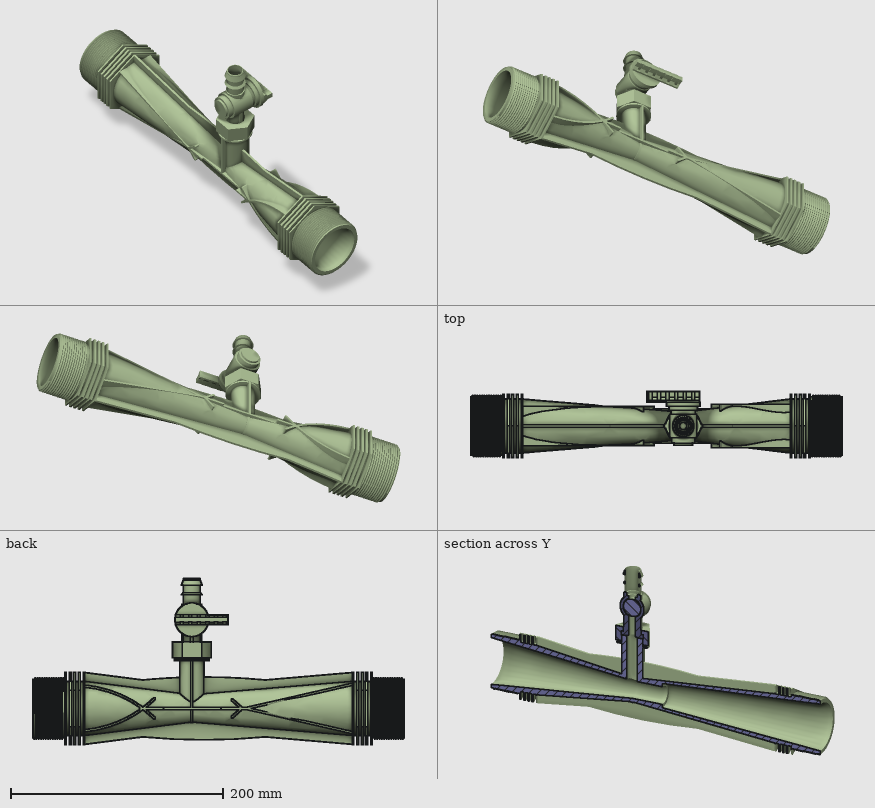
import cadquery as cq
import math

LENGTH = 350.0
HALF_LENGTH = LENGTH / 2
PORT_DIA = 47.5
NOZZLE_DIA = 24.5
THROAT_DIA = 18.0
THROAT_START = -7.0
THROAT_END = 25.2

THREAD_CREST_DIA = 58.0
THREAD_ROOT_DIA = 55.3
THREAD_PITCH = 2.2
THREAD_LENGTH = 30.0
RIDGE_OVERLAP = 0.5
RIDGE_BASE = 2.0

HEX_FLATS = 59.5
END_PLATE = 1.5
MIDDLE_PLATE = 2.0
MIDDLE_PLATE_PITCH = 4.2
STACK_LENGTH = 19.0
CORE_DIA = 51.0
WAIST_DIA = 26.0
WAIST_RING_DIA = 27.3
STACK_OUTER = HALF_LENGTH - THREAD_LENGTH
STACK_INNER = STACK_OUTER - STACK_LENGTH
STACK_MIDDLE = (STACK_OUTER + STACK_INNER) / 2

RIB_WIDTH = 2.0
WEB_END_HEIGHT = 34.0
WEB_LOW_HEIGHT = 27.0
WEB_MIDDLE_HEIGHT = 29.8
WEB_LOW_LEFT = -44.0
WEB_LOW_RIGHT = 71.5

INLET_RIB_REACH = 18.5
OUTLET_RIB_REACH = 20.5
CENTRE_RIB_REACH = 16.5
INLET_RIB_END = -3.0
OUTLET_RIB_START = 52.5
INLET_APEX = -26.2
INLET_RIB_HEIGHT = 22.8
ARROW_APEX = -22.0
ARROW_TIP = (-13.0, 8.0)
OUTLET_RIB_HIGH = (STACK_INNER, 21.0)
OUTLET_RIB_BEND = (88.5, 10.5)
OUTLET_RIB_LOW = (60.5, -9.0)
OUTLET_CROSSING = 73.5

BRANCH_X = 25.2
POST_DIA = 23.0
COLLAR_DIA = 2 * CENTRE_RIB_REACH
COLLAR_BOTTOM = 44.8
COLLAR_TOP = 46.5
POST_TOP = 54.2
SUCTION_DIA = 11.0

NUT_FLATS = 32.0
NUT_BOTTOM = 47.5
NUT_TOP = 62.5
NUT_HOLE_DIA = 19.0

TAIL_TOP = 57.8
VALVE_Z = 83.5
VALVE_DIA = 26.0
VALVE_BACK = 11.2
VALVE_FRONT = -11.0
CAP_DIA = 22.0
CAP_END = -16.0
CAP_STEP_DIA = 18.0
CAP_STEP_END = -18.2
NECK_DIA = 16.0
NECK_COLLAR_DIA = 18.0
NECK_RIB_SPAN = 18.5
NECK_RIB_WIDTH = 3.0
NECK_RIB_TOP = 98.5
VALVE_TOP = 123.0
HOSE_TIP_DIA = 15.0
HOSE_TIP_CHAMFER = 1.0
BARB_DIA = 20.0
UPPER_BARB = (116.2, 121.0)
LOWER_BARB = (107.0, 109.2)
HOSE_BORE_DIA = 14.0
STEP_BORE_DIA = 11.0
STEP_BORE_BOTTOM = 95.5
VALVE_BORE_DIA = 7.0
PLUG_DIA = 18.0

STEM_DIA = 23.0
STEM_END = 14.7
HUB_DIA = 27.0
HUB_END = 18.5
DISC_DIA = 32.0
DISC_END = 22.5
LEVER_LEFT = -34.3
LEVER_RIGHT = 15.5
LEVER_BASE = 1.8
LEVER_FLARE_END = 27.0
LEVER_END = 32.5
LEVER_BASE_WIDTH = 9.0
LEVER_GRIP_WIDTH = 5.0
NOTCH_COUNT = 6
NOTCH_WIDTH = 3.0
NOTCH_FLOOR_GAP = 4.2
NOTCH_PITCH = 8.0
FIRST_NOTCH = -30.8


def hexagon_corner_dia(flats):
    return flats / math.cos(math.pi / 6)


def x_cylinder(diameter, start, end):
    return cq.Workplane("YZ", origin=(start, 0, 0)).circle(diameter / 2).extrude(end - start)


def upright_cylinder(diameter, bottom, top):
    base = cq.Workplane("XY", origin=(BRANCH_X, 0, bottom))
    return base.circle(diameter / 2).extrude(top - bottom)


def valve_axis_cylinder(diameter, front, back):
    """Cylinder along Y on the axis of the valve plug."""
    base = cq.Workplane("XZ", origin=(BRANCH_X, back, VALVE_Z))
    return base.circle(diameter / 2).extrude(back - front)


def threaded_end():
    """Threaded inlet end: a plain core with a helical V ridge, clear of both ends."""
    start = -HALF_LENGTH
    core = x_cylinder(THREAD_ROOT_DIA, start, start + THREAD_LENGTH)
    root = THREAD_ROOT_DIA / 2 - RIDGE_OVERLAP
    half_base = RIDGE_BASE / 2
    helix = cq.Wire.makeHelix(THREAD_PITCH, THREAD_LENGTH - THREAD_PITCH, root)
    ridge = (
        cq.Workplane("XZ")
        .moveTo(root, -half_base)
        .lineTo(THREAD_CREST_DIA / 2, 0)
        .lineTo(root, half_base)
        .close()
        .sweep(cq.Workplane(helix), isFrenet=True)
        .rotate((0, 0, 0), (0, 1, 0), 90)
        .translate((start + THREAD_PITCH / 2, 0, 0))
    )
    return core.union(ridge)


def hex_plate(centre, thickness):
    """Hexagonal plate with corners at the top and bottom."""
    base = cq.Workplane("YZ", origin=(centre - thickness / 2, 0, 0))
    plate = base.polygon(6, hexagon_corner_dia(HEX_FLATS)).extrude(thickness)
    return plate.rotate((0, 0, 0), (1, 0, 0), 90)


def inlet_end():
    """Thread and hexagon stack of the inlet end."""
    end = threaded_end().union(x_cylinder(CORE_DIA, -STACK_OUTER, -STACK_INNER))
    for plate_distance in (STACK_OUTER - END_PLATE / 2, STACK_INNER + END_PLATE / 2):
        end = end.union(hex_plate(-plate_distance, END_PLATE))
    for step in (-1, 0, 1):
        end = end.union(hex_plate(-STACK_MIDDLE + step * MIDDLE_PLATE_PITCH, MIDDLE_PLATE))
    return end


def waisted_tube():
    outline = [
        (-STACK_INNER, 0),
        (-STACK_INNER, CORE_DIA / 2),
        (BRANCH_X, WAIST_DIA / 2),
        (STACK_INNER, CORE_DIA / 2),
        (STACK_INNER, 0),
    ]
    return cq.Workplane("XY").polyline(outline).close().revolve(360, (0, 0, 0), (1, 0, 0))


def webs():
    """Upright web along the tube, its edge drawn in towards the waist."""
    middle = (WEB_LOW_LEFT + WEB_LOW_RIGHT) / 2
    return (
        cq.Workplane("XZ")
        .moveTo(-STACK_INNER, -WEB_END_HEIGHT)
        .lineTo(WEB_LOW_LEFT, -WEB_LOW_HEIGHT)
        .threePointArc((middle, -WEB_MIDDLE_HEIGHT), (WEB_LOW_RIGHT, -WEB_LOW_HEIGHT))
        .lineTo(STACK_INNER, -WEB_END_HEIGHT)
        .lineTo(STACK_INNER, WEB_END_HEIGHT)
        .lineTo(WEB_LOW_RIGHT, WEB_LOW_HEIGHT)
        .threePointArc((middle, WEB_MIDDLE_HEIGHT), (WEB_LOW_LEFT, WEB_LOW_HEIGHT))
        .lineTo(-STACK_INNER, WEB_END_HEIGHT)
        .close()
        .extrude(RIB_WIDTH / 2, both=True)
    )


def straight_rib(start, end, reach):
    """Rib from start to end in XZ, round at both ends, standing out to both sides in Y."""
    run = end[0] - start[0]
    rise = end[1] - start[1]
    length = math.hypot(run, rise) + RIB_WIDTH
    angle = math.degrees(math.atan2(rise, run))
    base = cq.Workplane("XZ").center(start[0] + run / 2, start[1] + rise / 2)
    return base.slot2D(length, RIB_WIDTH, angle).extrude(reach, both=True)


def curved_rib(start, bend, end, reach):
    """Rib along an arc in XZ, standing out to both sides in Y."""
    arc = cq.Workplane("XZ").moveTo(*start).threePointArc(bend, end)
    return arc.offset2D(RIB_WIDTH / 2).extrude(reach, both=True)


def side_ribs():
    """Thin ribs on the two sides: a V, an arrow head, a long middle rib and two crossing curves."""
    ribs = straight_rib((INLET_APEX, 0), (INLET_RIB_END, 0), INLET_RIB_REACH)
    ribs = ribs.union(straight_rib((INLET_RIB_END, 0), (OUTLET_RIB_START, 0), CENTRE_RIB_REACH))
    ribs = ribs.union(straight_rib((OUTLET_RIB_START, 0), (OUTLET_CROSSING, 0), OUTLET_RIB_REACH))
    for side in (1, -1):
        inlet_start = (-STACK_INNER, side * INLET_RIB_HEIGHT)
        ribs = ribs.union(straight_rib(inlet_start, (INLET_APEX, 0), INLET_RIB_REACH))
        arrow_tip = (ARROW_TIP[0], side * ARROW_TIP[1])
        ribs = ribs.union(straight_rib((ARROW_APEX, 0), arrow_tip, INLET_RIB_REACH))
        high, bend, low = [
            (x, side * z) for x, z in (OUTLET_RIB_HIGH, OUTLET_RIB_BEND, OUTLET_RIB_LOW)
        ]
        ribs = ribs.union(curved_rib(high, bend, low, OUTLET_RIB_REACH))
    return ribs


def suction_post():
    """Upright post with its collar, the spigot inside the nut and a rib on the front and back.

    A low ring round the waist carries the ribs on below the middle rib.
    """
    post = upright_cylinder(POST_DIA, 0, POST_TOP)
    collar = upright_cylinder(COLLAR_DIA, COLLAR_BOTTOM, COLLAR_TOP)
    rib = (
        cq.Workplane("XY", origin=(BRANCH_X, 0, 0))
        .rect(RIB_WIDTH, COLLAR_DIA)
        .extrude(COLLAR_BOTTOM)
    )
    ring = x_cylinder(WAIST_RING_DIA, BRANCH_X - RIB_WIDTH / 2, BRANCH_X + RIB_WIDTH / 2)
    return post.union(collar).union(rib).union(ring)


def flow_passage():
    """Inlet cone, throat and outlet cone."""
    outline = [
        (-HALF_LENGTH, 0),
        (-HALF_LENGTH, PORT_DIA / 2),
        (THROAT_START, NOZZLE_DIA / 2),
        (THROAT_START, THROAT_DIA / 2),
        (THROAT_END, THROAT_DIA / 2),
        (HALF_LENGTH, PORT_DIA / 2),
        (HALF_LENGTH, 0),
    ]
    return cq.Workplane("XY").polyline(outline).close().revolve(360, (0, 0, 0), (1, 0, 0))


def make_injector_body():
    inlet = inlet_end()
    outlet = inlet.rotate((0, 0, 0), (0, 0, 1), 180)
    body = waisted_tube().union(webs()).union(side_ribs()).union(suction_post())
    body = body.union(inlet).union(outlet)
    return body.cut(flow_passage()).cut(upright_cylinder(SUCTION_DIA, 0, POST_TOP))


def make_nut():
    """Union nut holding the valve flange down on the post."""
    base = cq.Workplane("XY", origin=(BRANCH_X, 0, NUT_BOTTOM))
    nut = base.polygon(6, hexagon_corner_dia(NUT_FLATS)).extrude(NUT_TOP - NUT_BOTTOM)
    nut = nut.cut(upright_cylinder(POST_DIA, NUT_BOTTOM, TAIL_TOP))
    return nut.cut(upright_cylinder(NUT_HOLE_DIA, TAIL_TOP, NUT_TOP))


def valve_stem():
    """Turned upright part of the valve: flange, neck, two barbs and a chamfered tip."""
    outline = [(0, POST_TOP), (POST_DIA / 2, POST_TOP), (POST_DIA / 2, TAIL_TOP), (NECK_DIA / 2, TAIL_TOP)]
    for edge, cone_top in (LOWER_BARB, UPPER_BARB):
        outline += [(NECK_DIA / 2, edge), (BARB_DIA / 2, edge), (NECK_DIA / 2, cone_top)]
    outline += [
        (NECK_DIA / 2, VALVE_TOP - HOSE_TIP_CHAMFER),
        (HOSE_TIP_DIA / 2, VALVE_TOP),
        (0, VALVE_TOP),
    ]
    turned = cq.Workplane("XZ").polyline(outline).close().revolve(360, (0, 0, 0), (0, 1, 0))
    return turned.translate((BRANCH_X, 0, 0))


def make_valve():
    """Valve body: barbed upright stem crossed by the plug housing, closed at the front."""
    valve = valve_stem().union(valve_axis_cylinder(VALVE_DIA, VALVE_FRONT, VALVE_BACK))
    valve = valve.union(valve_axis_cylinder(CAP_DIA, CAP_END, VALVE_FRONT))
    valve = valve.union(valve_axis_cylinder(CAP_STEP_DIA, CAP_STEP_END, CAP_END))
    valve = valve.union(upright_cylinder(NECK_COLLAR_DIA, VALVE_Z, NECK_RIB_TOP))
    neck_base = cq.Workplane("XY", origin=(BRANCH_X, 0, TAIL_TOP))
    rib_height = NECK_RIB_TOP - TAIL_TOP
    valve = valve.union(neck_base.rect(NECK_RIB_SPAN, NECK_RIB_WIDTH).extrude(rib_height))
    valve = valve.union(neck_base.rect(NECK_RIB_WIDTH, NECK_RIB_SPAN).extrude(rib_height))
    valve = valve.cut(upright_cylinder(VALVE_BORE_DIA, POST_TOP, VALVE_TOP))
    valve = valve.cut(upright_cylinder(STEP_BORE_DIA, STEP_BORE_BOTTOM, VALVE_TOP))
    valve = valve.cut(upright_cylinder(HOSE_BORE_DIA, NECK_RIB_TOP, VALVE_TOP))
    return valve.cut(valve_axis_cylinder(PLUG_DIA, VALVE_FRONT, VALVE_BACK))


def lever():
    """Lever along X: flat base, flared foot and thin grip, with notches across both sides."""
    base_half = LEVER_BASE_WIDTH / 2
    grip_half = LEVER_GRIP_WIDTH / 2
    base_top = DISC_END + LEVER_BASE
    outline = [
        (DISC_END, -base_half),
        (base_top, -base_half),
        (LEVER_FLARE_END, -grip_half),
        (LEVER_END, -grip_half),
        (LEVER_END, grip_half),
        (LEVER_FLARE_END, grip_half),
        (base_top, base_half),
        (DISC_END, base_half),
    ]
    profile = cq.Workplane("YZ", origin=(BRANCH_X + LEVER_LEFT, 0, VALVE_Z))
    bar = profile.polyline(outline).close().extrude(LEVER_RIGHT - LEVER_LEFT)
    notch_height = LEVER_END - base_top
    notch_depth = (LEVER_BASE_WIDTH - NOTCH_FLOOR_GAP) / 2
    for index in range(NOTCH_COUNT):
        notch_x = BRANCH_X + FIRST_NOTCH + index * NOTCH_PITCH
        for side in (1, -1):
            notch_z = VALVE_Z + side * (NOTCH_FLOOR_GAP + notch_depth) / 2
            notch = cq.Workplane("XY").box(NOTCH_WIDTH, notch_height, notch_depth)
            bar = bar.cut(notch.translate((notch_x, base_top + notch_height / 2, notch_z)))
    return bar


def make_handle():
    """Handle turned on the plug axis: plug, stem, hub and disc, carrying the lever."""
    handle = valve_axis_cylinder(PLUG_DIA, VALVE_FRONT, VALVE_BACK)
    handle = handle.union(valve_axis_cylinder(STEM_DIA, VALVE_BACK, STEM_END))
    handle = handle.union(valve_axis_cylinder(HUB_DIA, STEM_END, HUB_END))
    handle = handle.union(valve_axis_cylinder(DISC_DIA, HUB_END, DISC_END))
    return handle.union(lever())


injector_body = make_injector_body()
nut = make_nut()
valve = make_valve()
handle = make_handle()

result = cq.Compound.makeCompound([injector_body.val(), nut.val(), valve.val(), handle.val()])